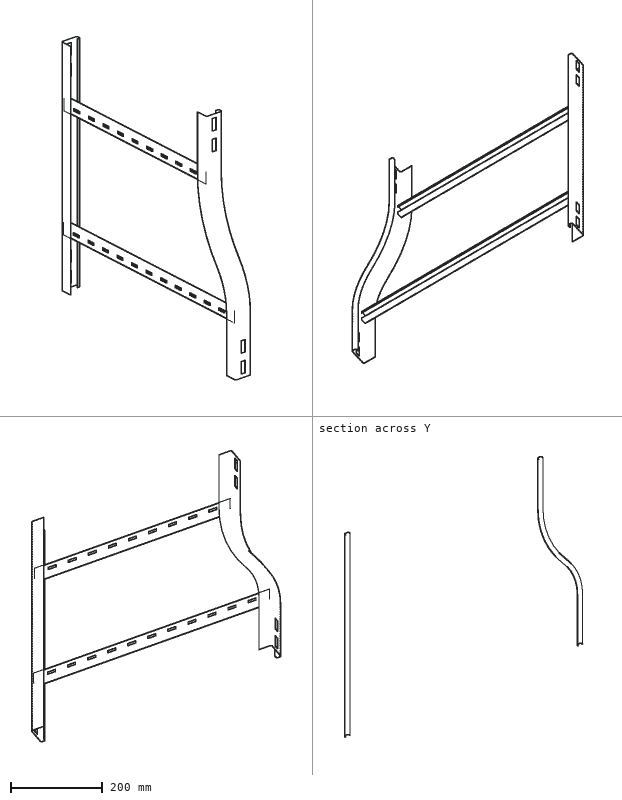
import cadquery as cq
import math

width = 600.0
length = 600.0
depth = 45.0

sheet = 1.5
bend_radius = 4.0
front_flange = 32.0
rear_flange = 12.5
lip_depth = 9.0

narrowing = width / 6
upper_width = width - narrowing
lower_bend_z = length / 4
upper_bend_z = length - lower_bend_z
bend_height = upper_bend_z - lower_bend_z
radius_sum = (narrowing**2 + bend_height**2) / (2 * narrowing)
upper_bend_radius = 0.6 * radius_sum
lower_bend_radius = radius_sum - upper_bend_radius

pitch = length / 12
rail_slot_length = 30.0
rail_slot_width = 11.0
rail_slot_end = pitch / 2
rung_slot_length = 20.0
rung_slot_width = 6.0

rung_height = 30.0
rung_depth = 15.0
rung_lip = 6.0
rung_bend_radius = 2.0
rung_gap = 6.0
upper_rung_shift = 2.0


def rail_profile(outer_x, inward):
    """Closed rail section in the XY plane; inward is +1 or -1 along X."""
    def at(x, y):
        return (outer_x + inward * x, y)

    r = bend_radius
    inner_r = bend_radius - sheet
    outer_mid = r * (1 - math.sqrt(0.5))
    inner_mid = r - inner_r * math.sqrt(0.5)
    lip_y = depth - lip_depth
    return (
        cq.Workplane("XY")
        .moveTo(*at(front_flange, 0))
        .lineTo(*at(r, 0))
        .threePointArc(at(outer_mid, outer_mid), at(0, r))
        .lineTo(*at(0, depth - r))
        .threePointArc(at(outer_mid, depth - outer_mid), at(r, depth))
        .lineTo(*at(rear_flange - r, depth))
        .threePointArc(at(rear_flange - outer_mid, depth - outer_mid), at(rear_flange, depth - r))
        .lineTo(*at(rear_flange, lip_y))
        .lineTo(*at(rear_flange - sheet, lip_y))
        .lineTo(*at(rear_flange - sheet, depth - r))
        .threePointArc(at(rear_flange - inner_mid, depth - inner_mid), at(rear_flange - r, depth - sheet))
        .lineTo(*at(r, depth - sheet))
        .threePointArc(at(inner_mid, depth - inner_mid), at(sheet, depth - r))
        .lineTo(*at(sheet, r))
        .threePointArc(at(inner_mid, inner_mid), at(r, sheet))
        .lineTo(*at(front_flange, sheet))
        .close()
    )


def rail_slot(web_x, z):
    """Cutter for one lengthwise slot through a rail web."""
    return cq.Workplane("XY").box(4 * sheet, rail_slot_width, rail_slot_length).translate(
        (web_x, depth / 2, z)
    )


def cut_rail_slots(rail, lower_web_x, upper_web_x):
    """Cut a pair of slots near each end of a rail."""
    for index in range(2):
        distance = rail_slot_end + index * pitch
        rail = rail.cut(rail_slot(lower_web_x, distance))
        rail = rail.cut(rail_slot(upper_web_x, length - distance))
    return rail


def make_straight_rail():
    rail = rail_profile(0, 1).extrude(length)
    return cut_rail_slots(rail, 0, 0)


def make_curved_rail():
    """Rail whose web follows two tangent arcs between its straight ends."""
    bend_angle = math.asin(bend_height / radius_sum)
    rise = math.sin(bend_angle)
    shift = 1 - math.cos(bend_angle)
    half_rise = math.sin(bend_angle / 2)
    half_shift = 1 - math.cos(bend_angle / 2)

    lower_mid = (width - lower_bend_radius * half_shift, lower_bend_z + lower_bend_radius * half_rise)
    inflection = (width - lower_bend_radius * shift, lower_bend_z + lower_bend_radius * rise)
    upper_mid = (upper_width + upper_bend_radius * half_shift, upper_bend_z - upper_bend_radius * half_rise)
    path = (
        cq.Workplane("XZ")
        .moveTo(width, 0)
        .lineTo(width, lower_bend_z)
        .threePointArc(lower_mid, inflection)
        .threePointArc(upper_mid, (upper_width, upper_bend_z))
        .lineTo(upper_width, length)
    )
    rail = rail_profile(width, -1).sweep(path)
    return cut_rail_slots(rail, width, upper_width)


def make_rung(clear_width, z, shift, slot_count):
    """Slotted channel along X with its web at the front and two inward lips at the back."""
    rung_length = clear_width - 2 * rung_gap
    center_x = clear_width / 2 + shift
    center_y = sheet + rung_depth / 2
    tube = (
        cq.Workplane("XY")
        .box(rung_length, rung_depth, rung_height)
        .edges("|X")
        .fillet(rung_bend_radius)
        .faces("<X or >X")
        .shell(-sheet)
    )
    mouth_height = rung_height - 2 * rung_lip
    mouth = cq.Workplane("XY").box(rung_length, 4 * sheet, mouth_height).translate((0, rung_depth / 2, 0))
    slots = (
        cq.Workplane("XZ", origin=(0, -rung_depth / 2, 0))
        .rarray(pitch, 6, slot_count, 1)
        .rect(rung_slot_length, rung_slot_width)
        .extrude(2 * sheet, both=True)
    )
    return tube.cut(mouth).cut(slots).translate((center_x, center_y, z))


straight_rail = make_straight_rail()
curved_rail = make_curved_rail()

rung_layout = [
    (width, lower_bend_z, 0, 11),
    (upper_width, upper_bend_z, upper_rung_shift, 9),
]
rungs = [make_rung(*placement) for placement in rung_layout]

result = cq.Compound.makeCompound(
    [straight_rail.val(), curved_rail.val(), *[rung.val() for rung in rungs]]
)